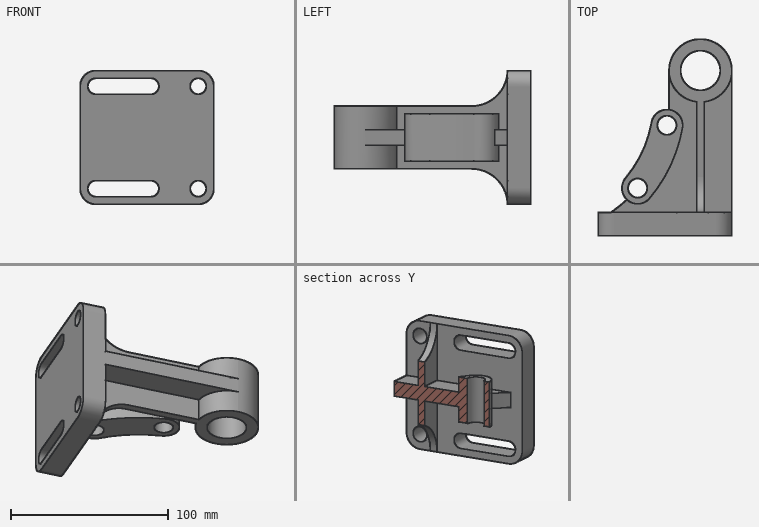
import cadquery as cq
import math

plate_side = 85.0
plate_thickness = 15.0
corner_radius = 10.0
mount_hole_diameter = 10.0
slot_travel = 35.0

overall_length = 125.0
boss_diameter = 40.0
boss_height = 40.0
bore_diameter = 25.0

web_thickness = 10.0
rib_thickness = 5.0

edge_radius = 85.0
edge_center_y = 85.0
lug_width = 20.0
lug_height = 30.0
lug_hole_diameter = 12.0
lug_lower_angle = math.radians(-40)
lug_upper_angle = math.radians(-10)

boss_radius = boss_diameter / 2
boss_x = plate_side - boss_radius
boss_y = overall_length - boss_radius
web_left = boss_x - boss_radius
edge_center_x = web_left - edge_radius
flare_radius = (plate_side - boss_height) / 2
mount_offset = plate_side / 2 - corner_radius


def centered_slab(height):
    """Workplane from which an upward extrusion of this height is centred on Z = 0."""
    return cq.Workplane("XY").workplane(offset=-height / 2)


def point_on_arc(radius, angle):
    """Point at the given angle on an arc concentric with the curved web edge."""
    return (edge_center_x + radius * math.cos(angle), edge_center_y + radius * math.sin(angle))


def make_plate():
    middle_x = plate_side / 2
    plate = (
        cq.Workplane("XY")
        .box(plate_side, plate_thickness, plate_side)
        .translate((middle_x, plate_thickness / 2, 0))
        .edges("|Y")
        .fillet(corner_radius)
    )
    right_hole_x = plate_side - corner_radius
    slot_x = corner_radius + slot_travel / 2
    front = cq.Workplane("XZ")
    holes = (
        front.pushPoints([(right_hole_x, -mount_offset), (right_hole_x, mount_offset)])
        .circle(mount_hole_diameter / 2)
        .extrude(-plate_thickness)
    )
    slots = (
        front.pushPoints([(slot_x, -mount_offset), (slot_x, mount_offset)])
        .slot2D(slot_travel + mount_hole_diameter, mount_hole_diameter)
        .extrude(-plate_thickness)
    )
    return plate.cut(holes).cut(slots)


def make_boss():
    return centered_slab(boss_height).center(boss_x, boss_y).circle(boss_radius).extrude(boss_height)


def make_web():
    start_angle = math.asin((plate_thickness - edge_center_y) / edge_radius)
    return (
        centered_slab(web_thickness)
        .moveTo(*point_on_arc(edge_radius, start_angle))
        .threePointArc(point_on_arc(edge_radius, start_angle / 2), point_on_arc(edge_radius, 0))
        .lineTo(web_left, boss_y)
        .lineTo(plate_side, boss_y)
        .lineTo(plate_side, plate_thickness)
        .close()
        .extrude(web_thickness)
    )


def make_rib():
    """Vertical rib that flares in quarter arcs to the full plate height."""
    half_rib = boss_height / 2
    half_plate = plate_side / 2
    flare_end_y = plate_thickness + flare_radius
    arc_inset = flare_radius * (1 - math.sqrt(0.5))
    arc_mid_y = plate_thickness + arc_inset
    arc_mid_z = half_rib + arc_inset
    return (
        cq.Workplane("YZ", origin=(boss_x - rib_thickness / 2, 0, 0))
        .moveTo(plate_thickness, -half_plate)
        .threePointArc((arc_mid_y, -arc_mid_z), (flare_end_y, -half_rib))
        .lineTo(boss_y, -half_rib)
        .lineTo(boss_y, half_rib)
        .lineTo(flare_end_y, half_rib)
        .threePointArc((arc_mid_y, arc_mid_z), (plate_thickness, half_plate))
        .close()
        .extrude(rib_thickness)
    )


lug_hole_centers = [point_on_arc(edge_radius, angle) for angle in (lug_lower_angle, lug_upper_angle)]


def make_lug():
    """Curved band along the web edge with round ends."""
    inner = edge_radius - lug_width / 2
    outer = edge_radius + lug_width / 2
    middle_angle = (lug_lower_angle + lug_upper_angle) / 2
    band = (
        centered_slab(lug_height)
        .moveTo(*point_on_arc(inner, lug_lower_angle))
        .threePointArc(point_on_arc(inner, middle_angle), point_on_arc(inner, lug_upper_angle))
        .lineTo(*point_on_arc(outer, lug_upper_angle))
        .threePointArc(point_on_arc(outer, middle_angle), point_on_arc(outer, lug_lower_angle))
        .close()
        .extrude(lug_height)
    )
    ends = centered_slab(lug_height).pushPoints(lug_hole_centers).circle(lug_width / 2).extrude(lug_height)
    return band.union(ends)


bore = centered_slab(boss_height).center(boss_x, boss_y).circle(bore_diameter / 2).extrude(boss_height)
lug_holes = (
    centered_slab(lug_height)
    .pushPoints(lug_hole_centers)
    .circle(lug_hole_diameter / 2)
    .extrude(lug_height)
)

body = make_plate().union(make_web()).union(make_rib()).union(make_boss()).union(make_lug())
result = body.cut(bore).cut(lug_holes)